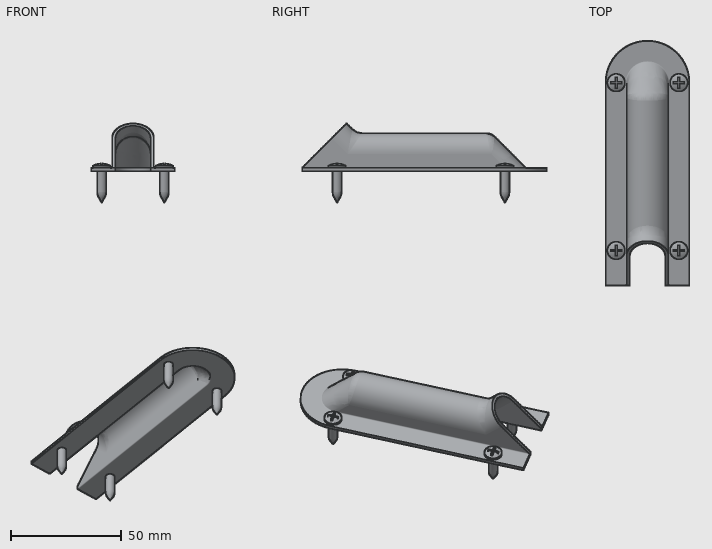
import cadquery as cq
import math

plate_width = 38.1
plate_length = 111.1
plate_thickness = 1.6
round_end_y = plate_length - plate_width / 2

wall = 1.6
hood_radius = plate_width / 4
hood_height = 17.3
spring_z = hood_height - hood_radius
front_bend_y = 20.7
back_bend_y = round_end_y - (spring_z - plate_thickness)
front_bend_radius = 6.1
back_bend_radius = 4.6
rim_fillet = 0.5

miter_slope = math.tan(math.radians(45 / 2))

screw_x = 14.2
screw_ys = (15.9, round_end_y)
shank_radius = 2.1
shank_end_z = -9.5
point_radius = 1.5
point_start_z = -11.8
point_end_z = -14.3
head_radius = 4.0
head_rim = 0.9
head_dome = 1.1
cross_length = 4.9
cross_width = 0.8
cross_depth = 0.9

screw_places = [(side * screw_x, y) for side in (-1, 1) for y in screw_ys]

margin = 3 * hood_radius


def side_prism(points, half_width=margin):
    """Prism with an outline of (y, z) points, centred on x = 0."""
    return cq.Workplane("YZ").polyline(points).close().extrude(half_width, both=True)


def half_cylinder(radius, start, end):
    """Upper half of a cylinder whose axis runs from start back to end, both (y, z)."""
    axis = cq.Vector(0, end[0] - start[0], end[1] - start[1])
    plane = cq.Plane(origin=(0, *start), xDir=(-1, 0, 0), normal=axis)
    return (
        cq.Workplane(plane)
        .moveTo(radius, 0)
        .threePointArc((0, radius), (-radius, 0))
        .close()
        .extrude(axis.Length)
    )


def hood_crown(radius):
    """Round top of the hood, above the spring line: flare, tunnel and back slope."""
    front_bend = (front_bend_y, spring_z)
    back_bend = (back_bend_y, spring_z)
    miter_top = (front_bend_y + margin * miter_slope, spring_z + margin)

    flare_side = side_prism([
        front_bend,
        miter_top,
        (front_bend_y - margin, spring_z + 2 * margin),
        (front_bend_y - margin, spring_z + margin),
    ])
    flare = half_cylinder(
        radius,
        (front_bend_y - margin, spring_z + margin),
        (front_bend_y + margin, spring_z - margin),
    ).intersect(flare_side)

    tunnel_side = side_prism([front_bend, miter_top, (back_bend_y, spring_z + margin), back_bend])
    tunnel = half_cylinder(radius, (0, spring_z), back_bend).intersect(tunnel_side)

    foot = cq.Wire.makeCircle(radius, cq.Vector(0, round_end_y, plate_thickness), cq.Vector(0, 0, 1))
    slant = cq.Vector(0, -margin, margin)
    slope_side = side_prism([
        back_bend,
        (back_bend_y, spring_z + margin),
        (plate_length, spring_z + margin),
        (plate_length, plate_thickness),
        (round_end_y, plate_thickness),
    ])
    slope = slope_side.intersect(cq.Workplane(cq.Solid.extrudeLinear(foot, [], slant)))
    return flare.union(tunnel).union(slope)


def hood_form(radius, front_fillet, back_fillet):
    """Solid hood of the given radius standing on the plate's top face, its front left long."""
    walls = side_prism([
        (-margin, plate_thickness),
        (-margin, spring_z + margin),
        (front_bend_y - margin, spring_z + margin),
        (front_bend_y, spring_z),
        (back_bend_y, spring_z),
        (round_end_y, plate_thickness),
    ], radius)
    form = hood_crown(radius).union(walls).clean()
    top_z = spring_z + radius
    front_ridge = (0, front_bend_y + radius * miter_slope, top_z)
    back_ridge = (0, back_bend_y, top_z)
    form = form.edges(cq.NearestToPointSelector(front_ridge)).fillet(front_fillet)
    return form.edges(cq.NearestToPointSelector(back_ridge)).fillet(back_fillet)


def round_ended_strip(width):
    """Strip as thick as the plate, with its round end at the back and its front left long."""
    half = width / 2
    return (
        cq.Workplane("XY")
        .moveTo(-half, -margin)
        .lineTo(half, -margin)
        .lineTo(half, round_end_y)
        .threePointArc((0, round_end_y + half), (-half, round_end_y))
        .close()
        .extrude(plate_thickness)
    )


def foot_edges(body, radius, z):
    """Edges of the hood's outline at height z: two straight sides and the round back.

    Each is the edge whose centre lies closest to a point on or inside it.
    """
    points = [(-radius, front_bend_y, z), (radius, front_bend_y, z), (0, round_end_y + radius / 2, z)]
    selectors = [cq.NearestToPointSelector(point) for point in points]
    return body.edges(selectors[0] + selectors[1] + selectors[2])


def make_cover():
    """Plate and hood in one piece of sheet, open at the bottom and the front."""
    inner_radius = hood_radius - wall
    outside = round_ended_strip(plate_width).union(
        hood_form(hood_radius, front_bend_radius, back_bend_radius)
    )
    outside = foot_edges(outside, hood_radius, plate_thickness).fillet(rim_fillet)

    inside = hood_form(inner_radius, front_bend_radius, back_bend_radius - wall)
    opening = round_ended_strip(2 * inner_radius)
    cover = outside.cut(inside).cut(opening)
    cover = foot_edges(cover, inner_radius, 0).fillet(rim_fillet)

    front_waste = side_prism([
        (0, -margin),
        (0, plate_thickness),
        (2 * margin, plate_thickness + 2 * margin),
        (-2 * margin, plate_thickness + 2 * margin),
        (-2 * margin, -margin),
    ])
    screw_holes = cq.Workplane("XY").pushPoints(screw_places).circle(shank_radius).extrude(plate_thickness)
    return cover.cut(front_waste).cut(screw_holes)


def make_screw(x, y):
    """Screw with its head on the plate's top face at (x, y)."""
    rim_z = plate_thickness + head_rim
    top_z = rim_z + head_dome
    dome_radius = (head_radius**2 + head_dome**2) / (2 * head_dome)
    half_angle = math.asin(head_radius / dome_radius) / 2
    dome_middle = (
        dome_radius * math.sin(half_angle),
        top_z - dome_radius * (1 - math.cos(half_angle)),
    )
    body = (
        cq.Workplane("XZ")
        .moveTo(0, top_z)
        .threePointArc(dome_middle, (head_radius, rim_z))
        .lineTo(head_radius, plate_thickness)
        .lineTo(shank_radius, plate_thickness)
        .lineTo(shank_radius, shank_end_z)
        .tangentArcPoint((point_radius, point_start_z), relative=False)
        .lineTo(0, point_end_z)
        .close()
        .revolve(360, (0, 0, 0), (0, 1, 0))
    )
    recess_plane = cq.Workplane("XY").workplane(offset=top_z - cross_depth)
    for size in ((cross_length, cross_width), (cross_width, cross_length)):
        body = body.cut(recess_plane.rect(*size).extrude(cross_depth))
    return body.translate((x, y, 0))


cover = make_cover()
screws = [make_screw(x, y) for x, y in screw_places]

result = cq.Compound.makeCompound([cover.val(), *[screw.val() for screw in screws]])